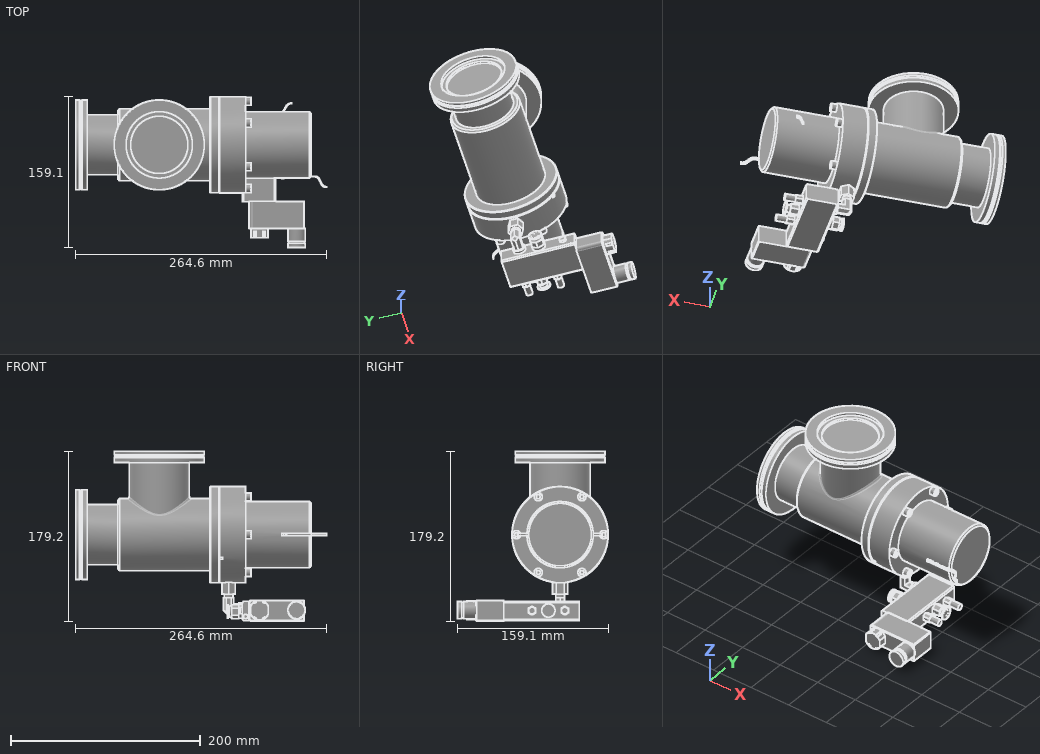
import cadquery as cq
import math


overall_depth = 159.1
overall_height = 179.18

port_face_distance = 88.0
flange_radius = 47.5
flange_thickness = 12.2
flange_groove_start = 3.6
flange_groove_width = 3.2
flange_groove_depth = 1.0
neck_radius = 31.8
port_recess_radius = 35.0
port_recess_depth = 3.5
port_bore_radius = 30.2
port_bore_depth = 6.0
body_radius = 38.1
body_start = -43.7
body_chamfer = 2.0
branch_fillet = 2.0

clamp_start = 53.3
clamp_end = 90.9
clamp_radius = 50.8
clamp_chamfer = 0.7
joint_start = 62.7
joint_width = 1.0
joint_depth = 0.5
leak_groove_length = 3.0
leak_groove_width = 2.2
leak_groove_depth = 2.0
leak_groove_z = -25.0

bolt_count = 6
bolt_circle_radius = 46.0
bolt_head_radius = 4.3
bolt_head_height = 5.8
bolt_socket_corner = 4.6
bolt_socket_depth = 2.5

motor_radius = 35.0
motor_end = 160.1
motor_chamfer = 2.0
cable_slot_start = 129.3
cable_slot_width = 2.6
cable_slot_floor = 33.3

cable_thickness = 0.8
cable_tip_x = 176.58
cable_tip_y = 44.5
cable_start_y = 35.1
cable_ramp_start = 131.3
cable_ramp_end = 134.3
cable_bend_x = 163.0
side_cable_root_x = 125.6
side_cable_root_y = 33.2
side_cable_tip_x = 139.6
side_cable_tip_y = 43.8
cable_exit_y = 33.2

air_x = 73.1
nipple_flats = 14.3
nipple_bottom = -62.7
stem_radius = 4.7
elbow_top = -66.4
elbow_flats = 9.6
elbow_z = -78.4
elbow_chamfer = 4.2
collar_radius = 6.6
collar_length = 3.6

assembly_bottom = port_face_distance - overall_height
manifold_min_x = 87.5
manifold_max_x = 122.8
manifold_max_y = 20.2
manifold_top = -70.0
manifold_bottom = -90.8
manifold_chamfer = 1.5
manifold_hole_x = 91.0
manifold_hole_z = -86.2
manifold_hole_radius = 2.3
manifold_hole_depth = 4.0

coil_min_x = 94.3
coil_max_x = 153.0
coil_back_y = -60.0
coil_front_y = -88.6
coil_top = -69.0
coil_fillet = 3.0
coil_chamfer = 0.8
coil_axis_z = -79.6

cap_x = 105.6
cap_flats = 18.3
cap_radius = 10.2
cap_front_y = -98.1
cap_notch_width = 2.6
cap_notch_depth = 1.2
cap_notch_margin = 2.5
cap_notch_angles = (60, 120, 240, 300)
plug_x = 144.7
plug_radius = 9.2
plug_front_y = clamp_radius - overall_depth
plug_groove_start = 4.6
plug_groove_width = 2.0
plug_groove_depth = 0.8

knob_y = -21.2
knob_z = -81.1
knob_face_x = 71.6
knob_disc_radius = 7.0
knob_disc_thickness = 1.3
knob_stem_radius = 4.0
knob_cone_start = 73.8
knob_cone_radius = 5.5
knob_nut_start = 76.6
knob_nut_end = 83.5
knob_nut_flats = 13.0
knob_collar_radius = 7.0
stub_y = -47.5
stub_z = -79.9
stub_radius = 3.4
stub_face_x = 85.1

fitting_z = -80.0
tube_fitting_positions = (5.0, -29.6)
tube_fitting_radius = 3.6
tube_fitting_end = 142.0
tube_nut_flats = 8.0
tube_nut_length = 8.0
far_knob_y = -12.3
far_knob_end = 137.5
far_knob_nut_length = 9.0
far_knob_nut_flats = 10.5

overlap = 1.0


def cylinder_x(radius, x_start, x_end, y=0.0, z=0.0):
    """Cylinder parallel to X."""
    return cq.Workplane("YZ", origin=(x_start, y, z)).circle(radius).extrude(x_end - x_start)


def cylinder_y(radius, y_back, y_front, x, z):
    """Cylinder parallel to Y, running toward -Y."""
    return cq.Workplane("XZ", origin=(x, y_back, z)).circle(radius).extrude(y_back - y_front)


def box_between(x_min, x_max, y_min, y_max, z_min, z_max):
    """Axis-aligned box given by its limits."""
    box = cq.Workplane("XY").box(x_max - x_min, y_max - y_min, z_max - z_min, centered=False)
    return box.translate((x_min, y_min, z_min))


def hex_x(flats, x_start, x_end, y, z):
    """Hexagonal bar parallel to X, with corners at its top and bottom."""
    corner_diameter = flats / math.cos(math.pi / 6)
    plane = cq.Workplane("YZ", origin=(x_start, y, z)).transformed(rotate=(0, 0, 90))
    return plane.polygon(6, corner_diameter).extrude(x_end - x_start)


def ring_x(outer_radius, inner_radius, x_start, width):
    """Ring around the X axis."""
    return (
        cq.Workplane("YZ", origin=(x_start, 0, 0))
        .circle(outer_radius)
        .circle(inner_radius)
        .extrude(width)
    )


def make_port():
    """Port along -X: flange with V groove and neck tube, as far as the body axis."""
    face = -port_face_distance
    groove_start = face + flange_groove_start
    groove_end = groove_start + flange_groove_width
    flange_back = face + flange_thickness
    profile = [
        (face, 0),
        (face, flange_radius),
        (groove_start, flange_radius),
        ((groove_start + groove_end) / 2, flange_radius - flange_groove_depth),
        (groove_end, flange_radius),
        (flange_back, flange_radius),
        (flange_back, neck_radius),
        (0, neck_radius),
        (0, 0),
    ]
    return cq.Workplane("XY").polyline(profile).close().revolve(360, (0, 0, 0), (1, 0, 0))


def make_port_bore():
    """Stepped recess in the face of the -X port."""
    face = -port_face_distance
    recess = cylinder_x(port_recess_radius, face, face + port_recess_depth)
    return recess.union(cylinder_x(port_bore_radius, face, face + port_bore_depth))


def turn_to_branch(shape):
    """Turn a shape on the -X port to the +Z branch."""
    return shape.rotate((0, 0, 0), (0, 1, 0), 90)


def make_housing():
    """Body with the inlet port, the filleted branch port and both recesses."""
    body = cylinder_x(body_radius, body_start, clamp_start + overlap)
    body = body.faces("<X").chamfer(body_chamfer)
    body = body.union(turn_to_branch(make_port()))
    seam_reach = neck_radius + branch_fillet
    seam = cq.selectors.BoxSelector(
        (-seam_reach, -seam_reach, 0), (seam_reach, seam_reach, body_radius + overlap), boundingbox=True
    )
    body = body.edges(seam).fillet(branch_fillet)
    body = body.union(make_port())
    return body.cut(make_port_bore()).cut(turn_to_branch(make_port_bore()))


def make_clamp():
    """Clamp flange pair with its joint line and leak-test groove."""
    clamp = cylinder_x(clamp_radius, clamp_start, clamp_end)
    clamp = clamp.faces("<X").chamfer(clamp_chamfer)
    clamp = clamp.cut(ring_x(clamp_radius + overlap, clamp_radius - joint_depth, joint_start, joint_width))
    groove_start = joint_start + joint_width
    surface_y = -math.sqrt(clamp_radius**2 - leak_groove_z**2)
    groove = box_between(
        groove_start,
        groove_start + leak_groove_length,
        surface_y - leak_groove_depth,
        surface_y + leak_groove_depth,
        leak_groove_z - leak_groove_width / 2,
        leak_groove_z + leak_groove_width / 2,
    )
    return clamp.cut(groove)


def make_bolt(angle):
    """Socket-head screw on the motor side of the clamp flange."""
    y = bolt_circle_radius * math.cos(angle)
    z = bolt_circle_radius * math.sin(angle)
    head_end = clamp_end + bolt_head_height
    head = cylinder_x(bolt_head_radius, clamp_end - overlap, head_end, y, z)
    socket = (
        cq.Workplane("YZ", origin=(head_end - bolt_socket_depth, y, z))
        .polygon(6, bolt_socket_corner)
        .extrude(bolt_socket_depth)
    )
    return head.cut(socket)


def make_motor():
    """Motor can with a chamfered end and a cable slot."""
    motor = cylinder_x(motor_radius, clamp_end - overlap, motor_end)
    motor = motor.faces(">X").chamfer(motor_chamfer)
    slot = box_between(
        cable_slot_start,
        motor_end,
        -motor_radius - overlap,
        -cable_slot_floor,
        -cable_slot_width / 2,
        cable_slot_width / 2,
    )
    return motor.cut(slot)


def sweep_cable(path, start, direction):
    """Flat cable along a path in the XY plane."""
    profile = cq.Workplane(cq.Plane(origin=start, xDir=(0, 0, 1), normal=direction))
    return profile.rect(cable_slot_width, cable_thickness).sweep(path, transition="right")


def make_slot_cable():
    """Cable that dips into the motor slot and leaves past the motor end in an S bend."""
    start = (cable_slot_start, -cable_start_y)
    bend = (cable_bend_x, -cable_exit_y)
    tip = (cable_tip_x, -cable_tip_y)
    lying_path = (
        cq.Workplane("XY")
        .moveTo(*start)
        .lineTo(cable_ramp_start, -cable_start_y)
        .lineTo(cable_ramp_end, -cable_exit_y)
        .lineTo(*bend)
    )
    bend_path = cq.Workplane("XY").spline([bend, tip], tangents=[(1, 0), (1, 0)])
    lying_part = sweep_cable(lying_path, (*start, 0), (1, 0, 0))
    bent_part = sweep_cable(bend_path, (*bend, 0), (1, 0, 0))
    return lying_part.union(bent_part)


def make_side_cable():
    """Cable leaving the +Y side of the motor."""
    root = (side_cable_root_x, side_cable_root_y)
    tip = (side_cable_tip_x, side_cable_tip_y)
    path = cq.Workplane("XY").spline([root, tip], tangents=[(1, 0), (1, 0)])
    return sweep_cable(path, (*root, 0), (1, 0, 0))


def make_air_fitting():
    """Hexagonal nipple, stem and hexagonal elbow that lead into the manifold."""
    nipple_corner = nipple_flats / math.cos(math.pi / 6)
    elbow_corner = elbow_flats / math.cos(math.pi / 6)
    nipple_top = -clamp_radius + 2 * overlap
    elbow_bottom = elbow_z - elbow_corner / 2
    elbow_left = air_x - elbow_corner / 2
    nipple = (
        cq.Workplane("XY", origin=(air_x, 0, nipple_bottom))
        .transformed(rotate=(0, 0, 90))
        .polygon(6, nipple_corner)
        .extrude(nipple_top - nipple_bottom)
    )
    stem = cq.Workplane("XY", origin=(air_x, 0, elbow_z)).circle(stem_radius)
    stem = stem.extrude(nipple_bottom + overlap - elbow_z)

    upright_section = cq.Workplane("XY", origin=(air_x, 0, elbow_bottom)).polygon(6, elbow_corner)
    upright = upright_section.extrude(elbow_top - elbow_bottom)
    level = hex_x(elbow_flats, elbow_left, manifold_min_x, 0, elbow_z)
    corner = upright.intersect(level)
    upright = upright.intersect(
        box_between(elbow_left, manifold_min_x, -elbow_flats, elbow_flats, elbow_z, elbow_top)
    )
    level = level.intersect(
        box_between(air_x, manifold_min_x, -elbow_flats, elbow_flats, elbow_bottom, elbow_top)
    )
    bevel = (
        cq.Workplane("XZ", origin=(elbow_left, elbow_flats, elbow_bottom))
        .polyline([(0, 0), (elbow_chamfer, 0), (0, elbow_chamfer)])
        .close()
        .extrude(2 * elbow_flats)
    )
    elbow = upright.union(level).union(corner).cut(bevel)
    collar = cylinder_x(collar_radius, manifold_min_x - collar_length, manifold_min_x + overlap, 0, elbow_z)
    return nipple.union(stem).union(elbow).union(collar)


def make_manifold():
    """Valve block with bevelled long edges and a blind hole in its -Y end."""
    block = box_between(
        manifold_min_x, manifold_max_x, coil_back_y, manifold_max_y, manifold_bottom, manifold_top
    )
    block = block.edges("|Y").chamfer(manifold_chamfer)
    hole = cylinder_y(
        manifold_hole_radius,
        coil_back_y + manifold_hole_depth,
        coil_back_y,
        manifold_hole_x,
        manifold_hole_z,
    )
    return block.cut(hole)


def make_coil_box():
    """Coil box with two rounded edges on its -X side."""
    box = box_between(
        coil_min_x, coil_max_x, coil_front_y, coil_back_y + overlap / 2, assembly_bottom, coil_top
    )
    box = box.edges("|Y and <X").fillet(coil_fillet)
    box = box.edges("|Y and >X").chamfer(coil_chamfer)
    return box.edges("<Y").chamfer(coil_chamfer)


def make_cap():
    """Round cap with two side flats and four notches."""
    back_y = coil_front_y + overlap
    cap = cylinder_y(cap_radius, back_y, cap_front_y, cap_x, coil_axis_z)
    between_flats = box_between(
        cap_x - cap_flats / 2,
        cap_x + cap_flats / 2,
        cap_front_y,
        back_y,
        coil_axis_z - cap_radius,
        coil_axis_z + cap_radius,
    )
    cap = cap.intersect(between_flats)
    for angle in cap_notch_angles:
        notch = box_between(
            cap_radius - cap_notch_depth,
            cap_radius + overlap,
            cap_front_y + overlap / 2,
            coil_front_y - cap_notch_margin,
            -cap_notch_width / 2,
            cap_notch_width / 2,
        )
        notch = notch.rotate((0, 0, 0), (0, 1, 0), angle).translate((cap_x, 0, coil_axis_z))
        cap = cap.cut(notch)
    return cap


def make_plug():
    """Round cable plug with a groove near its end."""
    groove_front = plug_front_y + plug_groove_start
    groove_back = groove_front + plug_groove_width
    core_radius = plug_radius - plug_groove_depth
    plug = cylinder_y(plug_radius, coil_front_y + overlap, groove_back, plug_x, coil_axis_z)
    plug = plug.union(cylinder_y(core_radius, groove_back, groove_front, plug_x, coil_axis_z))
    return plug.union(cylinder_y(plug_radius, groove_front, plug_front_y, plug_x, coil_axis_z))


def make_knob():
    """Override knob on the -X side: disc, stem, cone, nut and collar."""
    disc = cylinder_x(knob_disc_radius, knob_face_x, knob_face_x + knob_disc_thickness, knob_y, knob_z)
    stem = cylinder_x(knob_stem_radius, knob_face_x, knob_nut_end, knob_y, knob_z)
    cone = (
        cq.Workplane("YZ", origin=(knob_cone_start, knob_y, knob_z))
        .circle(knob_cone_radius)
        .workplane(offset=knob_nut_start - knob_cone_start)
        .circle(knob_disc_radius)
        .loft(combine=True)
    )
    nut = hex_x(knob_nut_flats, knob_nut_start, knob_nut_end, knob_y, knob_z)
    collar = cylinder_x(knob_collar_radius, knob_nut_end, manifold_min_x + overlap, knob_y, knob_z)
    return disc.union(stem).union(cone).union(nut).union(collar)


def make_stub():
    """Short round stub on the -X side of the manifold."""
    return cylinder_x(stub_radius, stub_face_x, manifold_min_x + overlap, stub_y, stub_z)


def make_far_fittings():
    """Two tube fittings with a knob between them on the +X side of the manifold."""
    root = manifold_max_x - overlap
    knob_nut_face = manifold_max_x + far_knob_nut_length
    knob_nut = hex_x(far_knob_nut_flats, root, knob_nut_face, far_knob_y, fitting_z)
    knob_stem = cylinder_x(knob_stem_radius, root, far_knob_end, far_knob_y, fitting_z)
    knob_disc = cylinder_x(
        knob_disc_radius, far_knob_end - knob_disc_thickness, far_knob_end, far_knob_y, fitting_z
    )
    fittings = knob_nut.union(knob_stem).union(knob_disc)
    for y in tube_fitting_positions:
        nut = hex_x(tube_nut_flats, root, manifold_max_x + tube_nut_length, y, fitting_z)
        tube = cylinder_x(tube_fitting_radius, root, tube_fitting_end, y, fitting_z)
        fittings = fittings.union(nut).union(tube)
    return fittings


result = make_housing().union(make_clamp()).union(make_motor())
for bolt_index in range(bolt_count):
    result = result.union(make_bolt(2 * math.pi * bolt_index / bolt_count))
for component in (
    make_slot_cable(),
    make_side_cable(),
    make_air_fitting(),
    make_manifold(),
    make_coil_box(),
    make_cap(),
    make_plug(),
    make_knob(),
    make_stub(),
    make_far_fittings(),
):
    result = result.union(component)